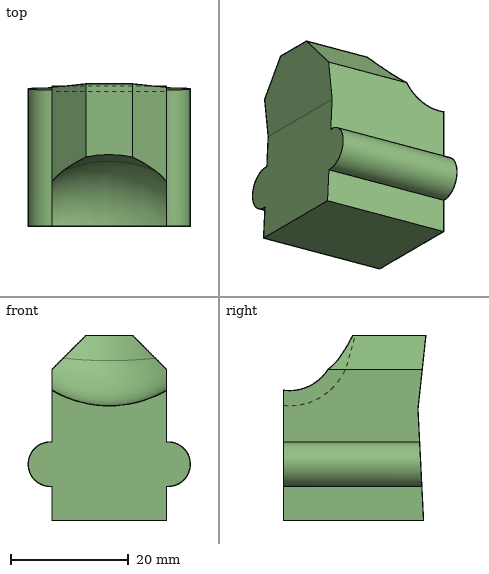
import cadquery as cq
import math

body_width = 19.5
height = 31.52
bevel = 5.8

depth_base = 23.85
depth_waist = 22.9
depth_top = 24.25
waist_height = 19.0

rail_radius = 3.81
rail_centre_height = 9.6
overall_width = 27.6

scoop_axis_y = 1.0
scoop_axis_z = 29.9
scoop_depth_radius = 10.4
scoop_cross_radius = 19.4
scoop_wall_lean = 15.0

margin = 1.0


def make_railed_block():
    """Bevelled block with a round rail partly sunk into each side, extruded along Y."""
    half_width = body_width / 2
    rail_offset = overall_width / 2 - rail_radius
    block = (
        cq.Workplane("XZ")
        .polyline([
            (-half_width, 0),
            (half_width, 0),
            (half_width, height - bevel),
            (half_width - bevel, height),
            (-half_width + bevel, height),
            (-half_width, height - bevel),
        ])
        .close()
        .extrude(-depth_top)
    )
    rails = (
        cq.Workplane("XZ")
        .pushPoints([(-rail_offset, rail_centre_height), (rail_offset, rail_centre_height)])
        .circle(rail_radius)
        .extrude(-depth_top)
    )
    return block.union(rails)


def make_side_envelope():
    """Side profile in YZ that gives the back face its bend."""
    return (
        cq.Workplane("YZ")
        .polyline([
            (0, 0),
            (depth_base, 0),
            (depth_waist, waist_height),
            (depth_top, height),
            (0, height),
        ])
        .close()
        .extrude(overall_width / 2 + margin, both=True)
    )


def scoop_section(normal):
    """Section between the scoop axis and the cross-arc, in the plane facing `normal`."""
    half_span = body_width / 2 + margin
    sag = scoop_cross_radius - math.sqrt(scoop_cross_radius**2 - half_span**2)
    edge = scoop_depth_radius - sag
    plane = cq.Plane(origin=(0, scoop_axis_y, scoop_axis_z), xDir=(1, 0, 0), normal=normal)
    return (
        cq.Workplane(plane)
        .moveTo(-half_span, 0)
        .lineTo(-half_span, -edge)
        .threePointArc((0, -scoop_depth_radius), (half_span, -edge))
        .lineTo(half_span, 0)
        .close()
    )


def make_scoop():
    """Cutter for the finger scoop: dished floor, leaning wall and the space in front."""
    turn = 180 - scoop_wall_lean
    floor = scoop_section((0, 0, 1)).revolve(turn, (0, 0, 0), (1, 0, 0))

    lean = math.radians(scoop_wall_lean)
    down_the_wall = (0, -math.sin(lean), -math.cos(lean))
    wall_length = scoop_depth_radius
    wall = scoop_section(down_the_wall).extrude(-wall_length)

    clearance_front = -scoop_depth_radius
    clearance_back = scoop_axis_y + scoop_depth_radius / 2
    clearance = cq.Workplane("XY").box(
        body_width + 2 * margin,
        clearance_back - clearance_front,
        height + margin - scoop_axis_z,
        centered=(True, False, False),
    ).translate((0, clearance_front, scoop_axis_z))
    return floor.union(wall).union(clearance)


result = make_railed_block().intersect(make_side_envelope()).cut(make_scoop())